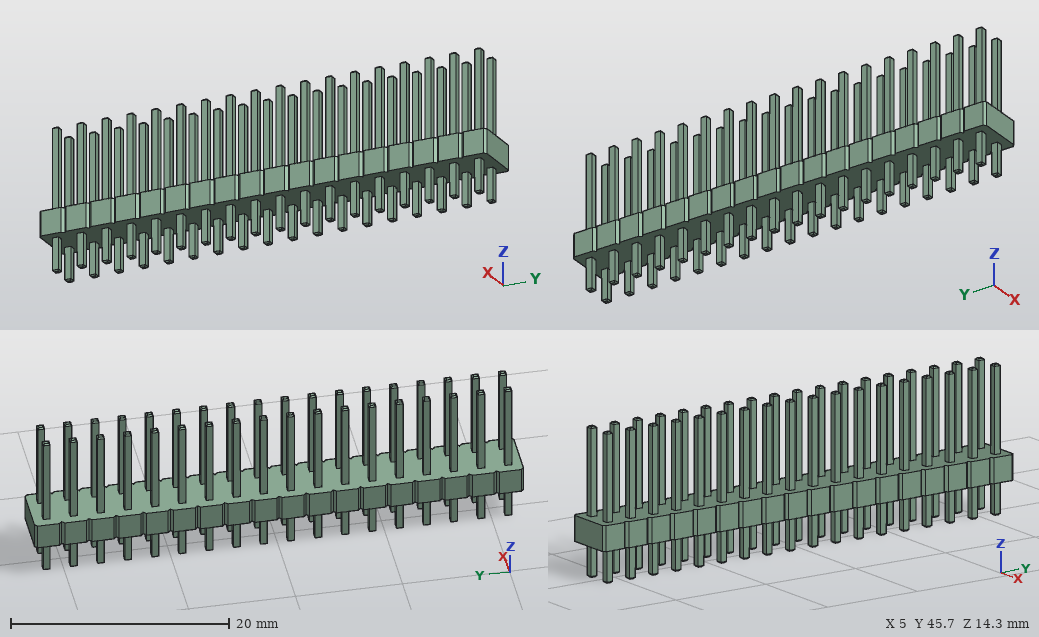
import cadquery as cq

row_count = 2
position_count = 18
body_length = 45.7
pitch = body_length / position_count

body_width = 5.0
body_height = 2.45
corner_chamfer = 0.25

pin_side = 0.65
pin_above = 8.5
pin_total_length = 14.3
pin_below = pin_total_length - body_height - pin_above
pin_tip_chamfer = 0.15


def body_cell():
    """One pitch of the body: a block with four chamfered vertical edges."""
    half_width = body_width / 2
    half_pitch = pitch / 2
    flat_x = half_width - corner_chamfer
    flat_y = half_pitch - corner_chamfer
    outline = [
        (flat_x, half_pitch),
        (half_width, flat_y),
        (half_width, -flat_y),
        (flat_x, -half_pitch),
        (-flat_x, -half_pitch),
        (-half_width, -flat_y),
        (-half_width, flat_y),
        (-flat_x, half_pitch),
    ]
    return cq.Workplane("XY").polyline(outline).close().extrude(body_height)


def pin():
    """A square pin through the body, chamfered at both tips."""
    return (
        cq.Workplane("XY")
        .workplane(offset=-pin_below)
        .rect(pin_side, pin_side)
        .extrude(pin_total_length)
        .faces("<Z or >Z")
        .edges()
        .chamfer(pin_tip_chamfer)
    )


cells = cq.Workplane("XY").rarray(pitch, pitch, 1, position_count)
body = cells.eachpoint(lambda place: body_cell().val().moved(place), combine="a")

pin_grid = cq.Workplane("XY").rarray(pitch, pitch, row_count, position_count)
pins = pin_grid.eachpoint(lambda place: pin().val().moved(place))

result = body.union(pins).clean()